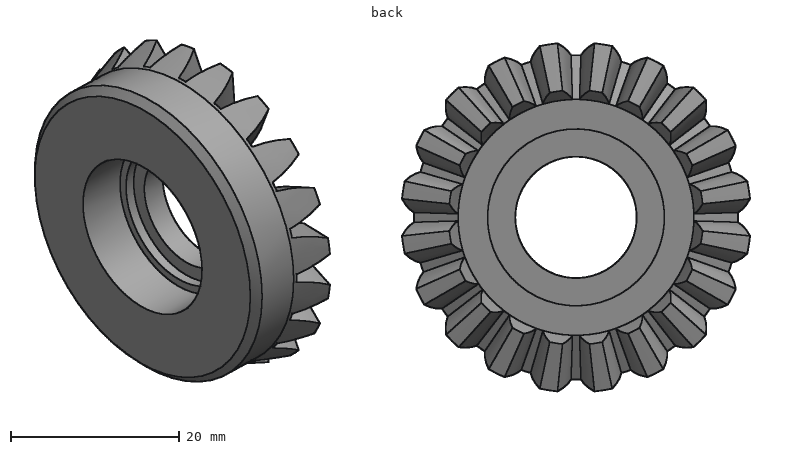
import cadquery as cq
import math


body_radius = 38.25 / 2
body_edge_y = 6.3
edge_chamfer = 1.0
hub_radius = 21.0 / 2
hub_face_y = 10.6

pocket_radius = 20.0 / 2
pocket_depth = 6.2
step_radius = 18.0 / 2
step_depth = 7.5
bore_radius = 14.4 / 2

tooth_count = 20
tooth_pitch = 360 / tooth_count
apex_y = 16.3
back_cone_angle = 20.2
root_y = 6.65
tip_y = 10.85
overall_width = 12.33

space_root_half_width = 0.58
space_middle_half_width = 1.2
space_tip_half_width = 2.25

overrun = 0.05
margin = 0.83

back_cone_slope = math.tan(math.radians(back_cone_angle))


def back_cone_point(y):
    """(radius, y) of a point on the cone of the outer tooth ends."""
    return body_radius + (y - body_edge_y) * back_cone_slope, y


def toward_apex(point, ratio):
    """A (radius, y) point scaled about the apex."""
    radius, y = point
    return radius * ratio, apex_y + (y - apex_y) * ratio


def revolve_section(points):
    """Full revolution about Y of a closed (radius, y) section."""
    return cq.Workplane("XY").polyline(points).close().revolve(360, (0, 0, 0), (0, 1, 0))


root_outer = back_cone_point(root_y)
tip_outer = back_cone_point(tip_y)
inner_ratio = (apex_y - overall_width) / (apex_y - tip_y)
root_inner = toward_apex(root_outer, inner_ratio)
tip_inner = toward_apex(tip_outer, inner_ratio)
recess_y = root_inner[1]


def make_blank():
    """Uncut gear with its conical rim, hub and stepped bore."""
    return revolve_section([
        (pocket_radius, 0),
        (body_radius - edge_chamfer, 0),
        (body_radius, edge_chamfer),
        (body_radius, body_edge_y),
        tip_outer,
        tip_inner,
        root_inner,
        (hub_radius, recess_y),
        (hub_radius, hub_face_y),
        (bore_radius, hub_face_y),
        (bore_radius, step_depth),
        (step_radius, step_depth),
        (step_radius, pocket_depth),
        (pocket_radius, pocket_depth),
    ])


def space_outline(ratio):
    """Outline of a tooth space on the +X side, square to its length and scaled about the apex."""
    lean = math.radians(back_cone_angle)
    origin_radius, origin_y = toward_apex(root_outer, ratio)
    plane = cq.Plane(
        origin=(origin_radius, origin_y, 0),
        xDir=(0, 0, -1),
        normal=(math.cos(lean), -math.sin(lean), 0),
    )
    depth = (tip_y - root_y) / math.cos(lean) * ratio
    root = space_root_half_width * ratio
    middle = space_middle_half_width * ratio
    tip = space_tip_half_width * ratio
    return (
        cq.Workplane(plane)
        .moveTo(-root, -margin)
        .lineTo(-root, 0)
        .threePointArc((-middle, depth / 2), (-tip, depth))
        .lineTo(-tip, depth + margin)
        .lineTo(tip, depth + margin)
        .lineTo(tip, depth)
        .threePointArc((middle, depth / 2), (root, 0))
        .lineTo(root, -margin)
        .close()
        .val()
    )


def make_space_cutter():
    """One tooth space on the +X side, its floor lying on the root cone."""
    outer_ratio = 1 + overrun
    end_ratio = inner_ratio - overrun
    loft = cq.Solid.makeLoft([space_outline(outer_ratio), space_outline(end_ratio)], True)
    floor_outer = toward_apex(root_outer, outer_ratio + overrun)
    floor_end = toward_apex(root_outer, end_ratio - overrun)
    core = revolve_section([(0, 0), (floor_outer[0], 0), floor_outer, floor_end, (0, floor_end[1])])
    return cq.Workplane(loft).cut(core)


gear = make_blank()
space_cutter = make_space_cutter()
for index in range(tooth_count):
    gear = gear.cut(space_cutter.rotate((0, 0, 0), (0, 1, 0), index * tooth_pitch))

result = gear